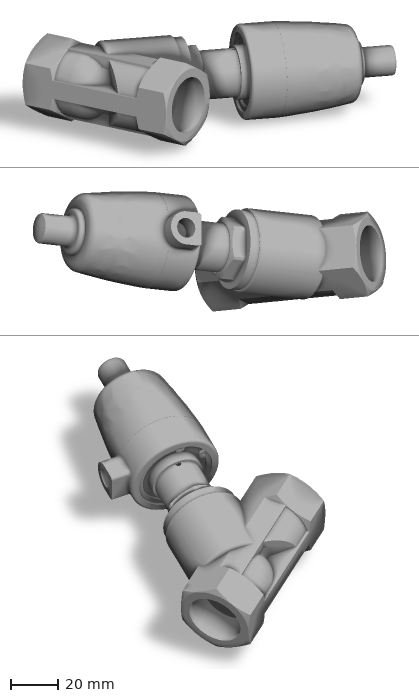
import cadquery as cq
import math


AXIS_ANGLE = 50.0

INLET_X = -24.0
PIPE_LENGTH = 75.0
OUTLET_X = INLET_X + PIPE_LENGTH
HEX_FLATS = 32.0
HEX_CORNERS = HEX_FLATS / math.cos(math.radians(30))
HEX_LENGTH = 16.0
HEX_CHAMFER_RADIUS = 15.8
HEX_CHAMFER_ANGLE = 30.0
HEX_BEVEL = (HEX_CORNERS / 2 - HEX_CHAMFER_RADIUS) * math.tan(math.radians(HEX_CHAMFER_ANGLE))
BORE_DIAMETER = 24.12
BORE_DEPTH = 14.0
MIDDLE_HEIGHT = 31.0
MIDDLE_BOTTOM_Y = -5.0
TUBE_RADIUS = 15.3
RIB_THICKNESS = 8.0
INLET_DOME_X = -0.3
OUTLET_ROUNDING = 4.0
VALLEY_FILLET = 3.0
THROAT_RADIUS = 11.5

BOSS_RADIUS = 18.0
BOSS_BOTTOM = 4.7
BOSS_TOP = 36.8
BOSS_BOTTOM_FILLET = 1.5
BOSS_TOP_CHAMFER = 0.6

FLANGE_RADIUS = 17.0
FLANGE_TOP = 41.0
BONNET_HEX_FLATS = 24.0
BONNET_HEX_ROUND_RADIUS = 13.5
BONNET_HEX_TOP = 47.6
BONNET_HEX_CHAMFER = 1.3
BONNET_HEX_TOP_LEDGE = 0.5
NECK_RADIUS = 10.5
VENT_DIAMETER = 2.5
VENT_HEIGHT = 63.0
VENT_DEPTH = 3.0

HOUSING_RADIUS = 20.5
HOUSING_BOTTOM = 65.7
HOUSING_BOTTOM_FILLET = 1.3
SEAM_HEIGHT = 80.6
SEAM_WIDTH = 0.5
SEAM_DEPTH = 0.15
TAPER_MIDDLE = (19.1, 97.0)
TAPER_TOP_RADIUS = 17.0
TAPER_TOP = 112.0
HOUSING_TOP = 115.7
RECESS_RADIUS = 17.0

PORT_RADIUS = 7.2
PORT_AXIS_HEIGHT = 76.8
PORT_BOTTOM = 69.5
PORT_FACE = 28.0
PORT_ROOT = 12.0
PORT_CORNER_FILLET = 1.5
PORT_BASE_FILLET = 1.0
PORT_BASE_REACH = PORT_RADIUS + 0.5
PORT_HOLE_DIAMETER = 8.57
PORT_HOLE_DEPTH = 9.0

COLLAR_RADIUS = 11.75
COLLAR_BOTTOM = 63.3
PLATE_BOTTOM = 68.0
PLATE_TOP = 72.0

RING_OUTER_RADIUS = 18.0
RING_INNER_RADIUS = 14.8
RING_THICKNESS = 1.2
RING_BOTTOM = PLATE_BOTTOM - RING_THICKNESS
LUG_ANGLES = (100.0, 155.0)
LUG_RADIUS = 2.1
LUG_CENTRE_RADIUS = 15.0
LUG_HOLE_DIAMETER = 1.5

INDICATOR_BASE_RADIUS = 10.0
INDICATOR_BASE_TOP = 118.2
INDICATOR_BASE_FILLET = 1.3
INDICATOR_ROOT_FILLET = 1.1
STEM_RADIUS = 6.5
STEM_TOP = 131.7
STEM_BEVEL_WIDTH = 0.4
STEM_BEVEL_HEIGHT = 0.9
DOME_HEIGHT = 1.0


def tilt(upright):
    """Move a shape built along local Z onto the actuator axis."""
    angle = math.radians(AXIS_ANGLE)
    axis_frame = cq.Plane(
        origin=(0, 0, 0),
        xDir=(-math.sin(angle), math.cos(angle), 0),
        normal=(math.cos(angle), math.sin(angle), 0),
    )
    return cq.Workplane(upright.val().moved(cq.Location(axis_frame)))


def disc(radius, bottom, top):
    return cq.Workplane("XY").workplane(offset=bottom).circle(radius).extrude(top - bottom)


def pipe_cylinder(radius, x_start, x_end):
    return cq.Workplane("YZ").workplane(offset=x_start).circle(radius).extrude(x_end - x_start)


def block(x_range, y_range, z_range):
    sizes = [high - low for low, high in (x_range, y_range, z_range)]
    corner = (x_range[0], y_range[0], z_range[0])
    return cq.Workplane("XY").box(*sizes, centered=False).translate(corner)


def hex_bar(x_start, x_end):
    """Hexagonal bar along X with flats at +Y and -Y, corners at +Z and -Z."""
    bar = cq.Workplane("YZ").workplane(offset=x_start).transformed(rotate=(0, 0, 90))
    return bar.polygon(6, HEX_CORNERS).extrude(x_end - x_start)


def hex_end(x_start):
    """Hexagonal pipe end with the corners bevelled on both faces."""
    x_end = x_start + HEX_LENGTH
    outer = HEX_CORNERS / 2 + 1
    slope = math.tan(math.radians(HEX_CHAMFER_ANGLE))
    bevel = (outer - HEX_CHAMFER_RADIUS) * slope
    envelope = (
        cq.Workplane("XY")
        .moveTo(x_start, 0)
        .lineTo(x_start, HEX_CHAMFER_RADIUS)
        .lineTo(x_start + bevel, outer)
        .lineTo(x_end - bevel, outer)
        .lineTo(x_end, HEX_CHAMFER_RADIUS)
        .lineTo(x_end, 0)
        .close()
        .revolve(360, (0, 0, 0), (1, 0, 0))
    )
    return hex_bar(x_start, x_end).intersect(envelope)


def flow_tubes(x_start, x_end):
    """Domed inlet tube and outlet tube cut off square to the actuator axis."""
    inlet = (
        cq.Workplane("XY")
        .moveTo(x_start, 0)
        .lineTo(x_start, TUBE_RADIUS)
        .lineTo(INLET_DOME_X, TUBE_RADIUS)
        .radiusArc((INLET_DOME_X + TUBE_RADIUS, 0), TUBE_RADIUS)
        .close()
        .revolve(360, (0, 0, 0), (1, 0, 0))
    )
    beyond_seat = tilt(disc(PIPE_LENGTH, BOSS_BOTTOM, BOSS_BOTTOM + PIPE_LENGTH))
    outlet = pipe_cylinder(TUBE_RADIUS, INLET_DOME_X, x_end).intersect(beyond_seat)
    outlet = outlet.faces("<X").edges().fillet(OUTLET_ROUNDING)
    return inlet.union(outlet).union(valley_fill(x_end))


def valley_fill(x_end):
    """Concave ring that blends the inlet dome into the cut face of the outlet tube."""
    angle = math.radians(AXIS_ANGLE)
    face_height = BOSS_BOTTOM - INLET_DOME_X * math.cos(angle)
    arc_height = face_height - VALLEY_FILLET
    arc_reach = TUBE_RADIUS + VALLEY_FILLET
    arc_radius = math.sqrt(arc_reach**2 - arc_height**2)
    dome_share = TUBE_RADIUS / arc_reach
    fill = (
        cq.Workplane("XZ")
        .moveTo(0, face_height + VALLEY_FILLET)
        .lineTo(arc_radius, face_height + VALLEY_FILLET)
        .lineTo(arc_radius, face_height)
        .radiusArc((arc_radius * dome_share, arc_height * dome_share), -VALLEY_FILLET)
        .lineTo(0, arc_height * dome_share)
        .close()
        .revolve(360, (0, 0, 0), (0, 1, 0))
    )
    throat = pipe_cylinder(THROAT_RADIUS, INLET_DOME_X, x_end)
    return tilt(fill).translate((INLET_DOME_X, 0, 0)).intersect(throat)


def boss():
    upright = disc(BOSS_RADIUS, BOSS_BOTTOM, BOSS_TOP)
    upright = upright.faces("<Z").edges().fillet(BOSS_BOTTOM_FILLET)
    return tilt(upright.faces(">Z").edges().chamfer(BOSS_TOP_CHAMFER))


def make_valve_body():
    middle_start = INLET_X + HEX_LENGTH
    middle_end = OUTLET_X - HEX_LENGTH
    middle_x = (middle_start - HEX_BEVEL, middle_end + HEX_BEVEL)
    hex_middle = hex_bar(*middle_x).intersect(
        block(
            middle_x,
            (MIDDLE_BOTTOM_Y, HEX_FLATS / 2),
            (-MIDDLE_HEIGHT / 2, MIDDLE_HEIGHT / 2),
        )
    )
    rib = block(
        middle_x,
        (-HEX_FLATS / 2, 0),
        (-RIB_THICKNESS / 2, RIB_THICKNESS / 2),
    )
    body = flow_tubes(middle_start, middle_end).union(hex_middle).union(rib)
    body = body.union(boss())
    for end_start in (INLET_X, middle_end):
        body = body.union(hex_end(end_start))
    for bore_start in (INLET_X, OUTLET_X - BORE_DEPTH):
        body = body.cut(pipe_cylinder(BORE_DIAMETER / 2, bore_start, bore_start + BORE_DEPTH))
    return body


def bonnet_hex():
    height = BONNET_HEX_TOP - FLANGE_TOP
    corners = BONNET_HEX_FLATS / math.cos(math.radians(30))
    rounding = disc(BONNET_HEX_ROUND_RADIUS, FLANGE_TOP, BONNET_HEX_TOP)
    rounding = rounding.faces(">Z").edges().chamfer(
        BONNET_HEX_CHAMFER, BONNET_HEX_ROUND_RADIUS - NECK_RADIUS - BONNET_HEX_TOP_LEDGE
    )
    prism = cq.Workplane("XY").workplane(offset=FLANGE_TOP)
    prism = prism.transformed(rotate=(0, 0, 90)).polygon(6, corners).extrude(height)
    return prism.intersect(rounding)


def make_bonnet():
    bonnet = disc(FLANGE_RADIUS, BOSS_TOP, FLANGE_TOP)
    bonnet = bonnet.union(bonnet_hex())
    bonnet = bonnet.union(disc(NECK_RADIUS, FLANGE_TOP, PLATE_TOP))
    vent = (
        cq.Workplane("XY")
        .workplane(offset=NECK_RADIUS - VENT_DEPTH)
        .circle(VENT_DIAMETER / 2)
        .extrude(2 * VENT_DEPTH)
        .rotate((0, 0, 0), (1, 0, 0), -90)
        .translate((0, 0, VENT_HEIGHT))
    )
    return bonnet.cut(vent)


def housing_shell():
    top_fillet = HOUSING_TOP - TAPER_TOP
    flat_radius = TAPER_TOP_RADIUS - top_fillet
    bottom_edge = HOUSING_BOTTOM + HOUSING_BOTTOM_FILLET
    return (
        cq.Workplane("XZ")
        .moveTo(0, HOUSING_BOTTOM)
        .lineTo(HOUSING_RADIUS - HOUSING_BOTTOM_FILLET, HOUSING_BOTTOM)
        .radiusArc((HOUSING_RADIUS, bottom_edge), -HOUSING_BOTTOM_FILLET)
        .lineTo(HOUSING_RADIUS, SEAM_HEIGHT)
        .threePointArc(TAPER_MIDDLE, (TAPER_TOP_RADIUS, TAPER_TOP))
        .radiusArc((flat_radius, HOUSING_TOP), -top_fillet)
        .lineTo(0, HOUSING_TOP)
        .close()
        .revolve(360, (0, 0, 0), (0, 1, 0))
    )


def seam_groove():
    """Shallow ring groove at the foot of the taper, interrupted by the port."""
    seam_top = SEAM_HEIGHT + SEAM_WIDTH
    ring = disc(HOUSING_RADIUS + 1, SEAM_HEIGHT, seam_top)
    ring = ring.cut(disc(HOUSING_RADIUS - SEAM_DEPTH, SEAM_HEIGHT, seam_top))
    port_width = 2 * (PORT_RADIUS + PORT_BASE_FILLET)
    port_side = cq.Workplane("XY").box(PORT_FACE, port_width, 2 * HOUSING_TOP)
    return ring.cut(port_side.translate((PORT_FACE / 2, 0, 0)))


def port_block():
    """Side block with a flat lower face and a half-round upper end."""
    return (
        cq.Workplane("YZ")
        .workplane(offset=PORT_ROOT)
        .moveTo(-PORT_RADIUS, PORT_BOTTOM)
        .lineTo(PORT_RADIUS, PORT_BOTTOM)
        .lineTo(PORT_RADIUS, PORT_AXIS_HEIGHT)
        .threePointArc((0, PORT_AXIS_HEIGHT + PORT_RADIUS), (-PORT_RADIUS, PORT_AXIS_HEIGHT))
        .close()
        .extrude(PORT_FACE - PORT_ROOT)
        .edges("|X and <Z")
        .fillet(PORT_CORNER_FILLET)
    )


def make_housing():
    housing = housing_shell().union(port_block())
    port_base = cq.selectors.BoxSelector(
        (PORT_ROOT, -PORT_BASE_REACH, PORT_BOTTOM - 1),
        (HOUSING_RADIUS + 1, PORT_BASE_REACH, PORT_AXIS_HEIGHT + PORT_BASE_REACH),
        boundingbox=True,
    )
    housing = housing.edges(port_base).fillet(PORT_BASE_FILLET).cut(seam_groove())
    port_hole = (
        cq.Workplane("YZ")
        .workplane(offset=PORT_FACE - PORT_HOLE_DEPTH)
        .center(0, PORT_AXIS_HEIGHT)
        .circle(PORT_HOLE_DIAMETER / 2)
        .extrude(PORT_HOLE_DEPTH)
    )
    housing = housing.cut(port_hole)
    housing = housing.cut(disc(RECESS_RADIUS, HOUSING_BOTTOM, PLATE_TOP))
    return housing.cut(disc(RING_OUTER_RADIUS, RING_BOTTOM, PLATE_BOTTOM))


def make_plate():
    plate = disc(RECESS_RADIUS, PLATE_BOTTOM, PLATE_TOP)
    plate = plate.union(disc(COLLAR_RADIUS, COLLAR_BOTTOM, PLATE_TOP))
    return plate.cut(disc(NECK_RADIUS, COLLAR_BOTTOM, PLATE_TOP))


def ring_point(radius, angle):
    return (radius * math.cos(math.radians(angle)), radius * math.sin(math.radians(angle)))


def make_retaining_ring():
    ring = disc(RING_OUTER_RADIUS, RING_BOTTOM, PLATE_BOTTOM)
    ring = ring.cut(disc(RING_INNER_RADIUS, RING_BOTTOM, PLATE_BOTTOM))
    reach = 2 * RING_OUTER_RADIUS
    gap = (
        cq.Workplane("XY")
        .workplane(offset=RING_BOTTOM)
        .polyline([(0, 0)] + [ring_point(reach, angle) for angle in LUG_ANGLES])
        .close()
        .extrude(RING_THICKNESS)
    )
    ring = ring.cut(gap)
    lug_centres = [ring_point(LUG_CENTRE_RADIUS, angle) for angle in LUG_ANGLES]
    lugs = cq.Workplane("XY").workplane(offset=RING_BOTTOM).pushPoints(lug_centres)
    ring = ring.union(lugs.circle(LUG_RADIUS).extrude(RING_THICKNESS))
    return ring.cut(lugs.circle(LUG_HOLE_DIAMETER / 2).extrude(RING_THICKNESS))


def make_indicator():
    base_flat_radius = INDICATOR_BASE_RADIUS - INDICATOR_BASE_FILLET
    stem_foot = INDICATOR_BASE_TOP + INDICATOR_ROOT_FILLET
    bevel_radius = STEM_RADIUS - STEM_BEVEL_WIDTH
    bevel_top = STEM_TOP + STEM_BEVEL_HEIGHT
    dome_top = bevel_top + DOME_HEIGHT
    dome_radius = (bevel_radius**2 + DOME_HEIGHT**2) / (2 * DOME_HEIGHT)
    return (
        cq.Workplane("XZ")
        .moveTo(0, HOUSING_TOP)
        .lineTo(INDICATOR_BASE_RADIUS, HOUSING_TOP)
        .lineTo(INDICATOR_BASE_RADIUS, INDICATOR_BASE_TOP - INDICATOR_BASE_FILLET)
        .radiusArc((base_flat_radius, INDICATOR_BASE_TOP), -INDICATOR_BASE_FILLET)
        .lineTo(STEM_RADIUS + INDICATOR_ROOT_FILLET, INDICATOR_BASE_TOP)
        .radiusArc((STEM_RADIUS, stem_foot), INDICATOR_ROOT_FILLET)
        .lineTo(STEM_RADIUS, STEM_TOP)
        .lineTo(bevel_radius, bevel_top)
        .radiusArc((0, dome_top), -dome_radius)
        .close()
        .revolve(360, (0, 0, 0), (0, 1, 0))
    )


valve_body = make_valve_body()
bonnet = tilt(make_bonnet())
housing = tilt(make_housing())
plate = tilt(make_plate())
retaining_ring = tilt(make_retaining_ring())
indicator = tilt(make_indicator())

result = cq.Compound.makeCompound(
    [
        *valve_body.solids().vals(),
        *bonnet.solids().vals(),
        *housing.solids().vals(),
        *plate.solids().vals(),
        *retaining_ring.solids().vals(),
        *indicator.solids().vals(),
    ]
)